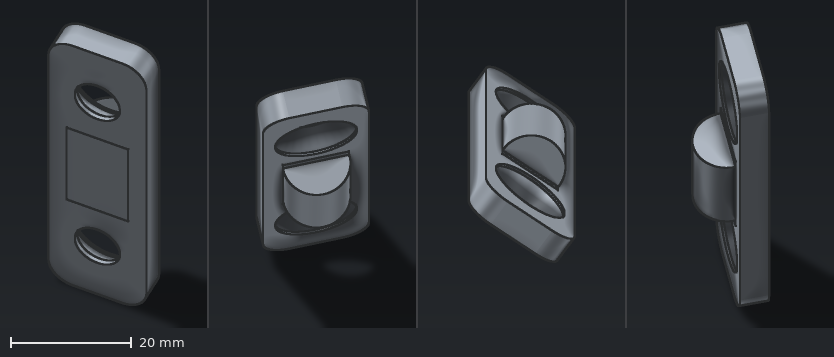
import cadquery as cq

plate_width = 18.0
plate_height = 60.0
plate_thickness = 5.0
corner_radius = plate_width / 4

hole_radius = 4.15
hole_offset = 18.0
hole_straight_depth = 1.0
head_radius = 6.95
head_rim_depth = 0.5

insert_width = 11.3
base_height = 18.0
boss_height = 15.0
total_depth = 10.9
boss_radius = insert_width / 2
boss_center_y = total_depth - boss_radius


def screw_hole_cutter(center_z):
    """Revolved countersunk hole: straight throat, cone, then a short straight rim."""
    cone_end = plate_thickness - head_rim_depth
    return (
        cq.Workplane("XY")
        .moveTo(0, 0)
        .lineTo(hole_radius, 0)
        .lineTo(hole_radius, hole_straight_depth)
        .lineTo(head_radius, cone_end)
        .lineTo(head_radius, plate_thickness)
        .lineTo(0, plate_thickness)
        .close()
        .revolve(360, (0, 0, 0), (0, 1, 0))
        .translate((0, 0, center_z))
    )


def insert_base():
    """Rectangular block that fills the window through the plate."""
    return cq.Workplane("XY").box(
        insert_width, plate_thickness, base_height, centered=(True, False, True)
    )


def make_plate():
    plate = (
        cq.Workplane("XY")
        .box(plate_width, plate_thickness, plate_height, centered=(True, False, True))
        .edges("|Y")
        .fillet(corner_radius)
    )
    for center_z in (-hole_offset, hole_offset):
        plate = plate.cut(screw_hole_cutter(center_z))
    return plate.cut(insert_base())


def make_insert():
    boss = (
        cq.Workplane("XY")
        .workplane(offset=-boss_height / 2)
        .moveTo(-boss_radius, plate_thickness)
        .lineTo(-boss_radius, boss_center_y)
        .threePointArc((0, total_depth), (boss_radius, boss_center_y))
        .lineTo(boss_radius, plate_thickness)
        .close()
        .extrude(boss_height)
    )
    return insert_base().union(boss)


plate = make_plate()
insert = make_insert()
result = cq.Compound.makeCompound([plate.val(), insert.val()])